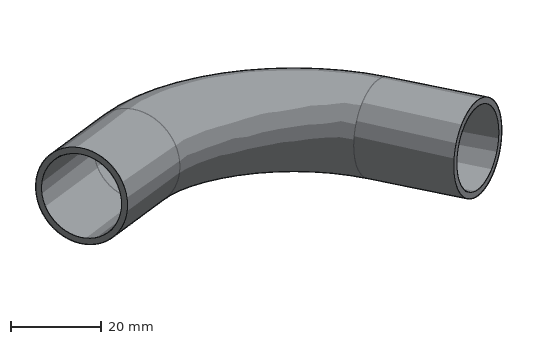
import cadquery as cq
import math

OUTER_DIAMETER = 23.0
INNER_DIAMETER = 20.0
BEND_RADIUS = 40.0
STRAIGHT_LENGTH = 25.0


def centreline():
    """Path in the XY plane: up along +Y, a quarter bend, then out along +X."""
    arc_start_y = STRAIGHT_LENGTH
    arc_end_y = arc_start_y + BEND_RADIUS
    arc_mid_offset = BEND_RADIUS * math.sin(math.radians(45))
    arc_mid = (BEND_RADIUS - arc_mid_offset, arc_start_y + arc_mid_offset)
    return (
        cq.Workplane("XY")
        .lineTo(0, arc_start_y)
        .threePointArc(arc_mid, (BEND_RADIUS, arc_end_y))
        .lineTo(BEND_RADIUS + STRAIGHT_LENGTH, arc_end_y)
    )


def tube():
    """Sweep the annular wall section along the centreline."""
    wall_section = (
        cq.Workplane("XZ")
        .circle(OUTER_DIAMETER / 2)
        .circle(INNER_DIAMETER / 2)
    )
    return wall_section.sweep(centreline())


result = tube()